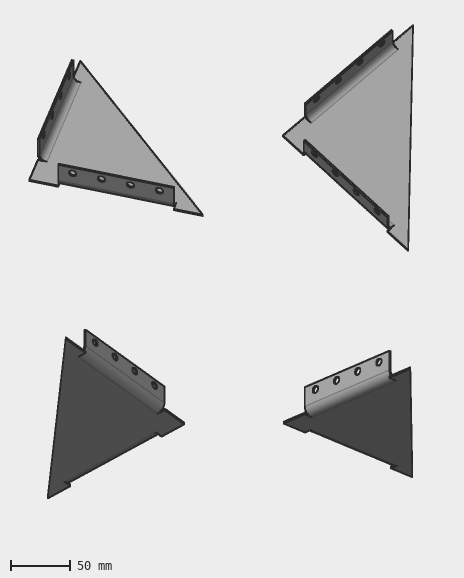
import cadquery as cq

leg = 152.5
thickness = 1.7
flange_height = 25.5
bend_outer_radius = 7.8
hole_diameter = 6.4
hole_height = 19.0
hole_count = 4

bend_inner_radius = bend_outer_radius - thickness
flange_start = leg / 6
flange_length = leg - 2 * flange_start
hole_pitch = flange_length / hole_count


def triangular_plate():
    """Flat right triangle, with its square corner at the origin."""
    return cq.Workplane("XY").polyline([(0, 0), (leg, 0), (0, leg)]).close().extrude(thickness)


def bend_clearance():
    """Strip of plate taken away along the X leg, where the flange bends up."""
    start = cq.Workplane("XY", origin=(flange_start, 0, 0))
    return start.box(flange_length, bend_outer_radius, thickness, centered=False)


def flange():
    """Rounded bend and upright wall along the X leg, with a row of holes."""
    r = bend_outer_radius
    wall = (
        cq.Workplane("YZ", origin=(flange_start, 0, 0))
        .moveTo(r, 0)
        .radiusArc((0, r), r)
        .lineTo(0, flange_height)
        .lineTo(thickness, flange_height)
        .lineTo(thickness, r)
        .radiusArc((r, thickness), -bend_inner_radius)
        .close()
        .extrude(flange_length)
    )
    hole_centres = [(flange_start + (i + 0.5) * hole_pitch, hole_height) for i in range(hole_count)]
    holes = cq.Workplane("XZ").pushPoints(hole_centres).circle(hole_diameter / 2).extrude(-thickness)
    return wall.cut(holes)


def on_y_leg(body):
    """Mirror a body across the plane x = y, from the X leg to the Y leg."""
    return body.mirror("XZ").rotate((0, 0, 0), (0, 0, 1), 90)


x_flange = flange()
x_clearance = bend_clearance()
result = (
    triangular_plate()
    .cut(x_clearance)
    .cut(on_y_leg(x_clearance))
    .union(x_flange)
    .union(on_y_leg(x_flange))
)